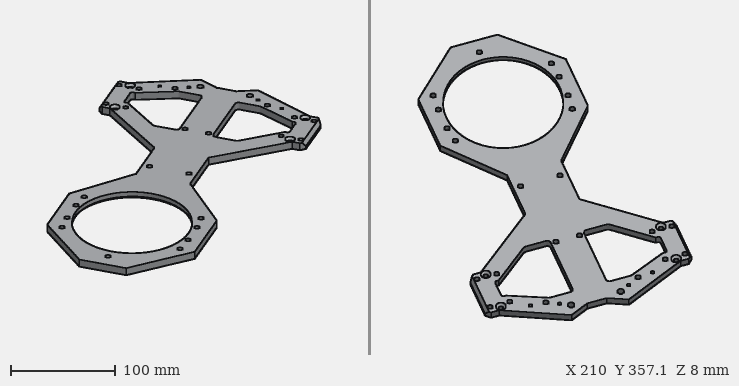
import cadquery as cq

thickness = 8.0
overall_width = 210.0
overall_length = 357.07

ring_opening_diameter = 115.0
ring_recess_diameter = 120.5
ring_recess_depth = 3.0
ring_half_width = 75.0
ring_bottom_y = -82.5
ring_bottom_half_width = 23.8
ring_side_bottom_y = ring_bottom_y + (ring_half_width - ring_bottom_half_width)
ring_side_top_y = 31.0

neck_half_width = 27.5
neck_bottom_y = 87.6
neck_top_y = 139.4

tab_center_y = 220.0
tab_half_height = 25.5
tab_outer_x = overall_width / 2
tab_corner_chamfer = 4.5
arm_top_x = 92.1
arm_bottom_x = 92.6
peak_x = 29.1
peak_y = ring_bottom_y + overall_length
notch_half_width = 9.9
notch_y = 265.8

bevel_width = 3.0
bevel_height = 4.9

window_inner_x = 17.0
window_outer_x = 84.0
window_top_y = 246.8
window_bottom_y = 178.3
window_shoulder_x = 79.7
window_top_slope_x = 41.6
window_bottom_slope_x = 42.6
window_shoulder_top_y = 230.2
window_shoulder_bottom_y = 209.7
window_corner_radius = 3.6
window_shoulder_radius = 2.2
window_bend_radius = 6.0

screw_diameter = 5.3
ring_holes = [(59.4, 30.0), (61.4, 12.5), (61.4, -12.5), (60.0, -30.9)]
ring_bottom_hole_y = -67.5
neck_holes = [(20.0, 105.0), (12.0, 182.5)]
arm_hole = (46.9, 251.2)
peak_hole = (25.2, 262.4)
peak_hole_diameter = 6.3
pin_holes = [(35.1, 257.3), (62.0, 250.0)]
pin_diameter = 3.3

tab_hole_center_x = 89.0
tab_hole_half_pitch_x = 10.0
tab_hole_half_pitch_y = 18.6
tab_hole_diameter = 5.0
countersink_half_pitch_y = 21.5
countersink_hole_diameter = 4.5
countersink_diameter = 9.6
countersink_angle = 90.0


def mirrored(points):
    """Return the points together with their mirror images across X = 0."""
    return points + [(-x, y) for x, y in points]


def make_plate():
    """Plate with its full outline and no openings."""
    tab_top_y = tab_center_y + tab_half_height
    tab_bottom_y = tab_center_y - tab_half_height
    right_side = [
        (ring_bottom_half_width, ring_bottom_y),
        (ring_half_width, ring_side_bottom_y),
        (ring_half_width, ring_side_top_y),
        (neck_half_width, neck_bottom_y),
        (neck_half_width, neck_top_y),
        (arm_bottom_x, tab_bottom_y),
        (tab_outer_x - tab_corner_chamfer, tab_bottom_y),
        (tab_outer_x, tab_bottom_y + tab_corner_chamfer),
        (tab_outer_x, tab_top_y - tab_corner_chamfer),
        (tab_outer_x - tab_corner_chamfer, tab_top_y),
        (arm_top_x, tab_top_y),
        (peak_x, peak_y),
        (notch_half_width, notch_y),
    ]
    left_side = [(-x, y) for x, y in reversed(right_side)]
    return cq.Workplane("XY").polyline(right_side + left_side).close().extrude(thickness)


def make_tab_bevel():
    """Wedge that bevels the upper outer edge of the +X tab."""
    profile = [
        (tab_outer_x - bevel_width, thickness),
        (tab_outer_x, thickness),
        (tab_outer_x, thickness - bevel_height),
    ]
    return (
        cq.Workplane("XZ", origin=(0, tab_center_y, 0))
        .polyline(profile)
        .close()
        .extrude(tab_half_height, both=True)
    )


def make_window():
    """Opening between the centre bar and the +X arms."""
    outline = [
        (window_inner_x, window_bottom_y),
        (window_bottom_slope_x, window_bottom_y),
        (window_shoulder_x, window_shoulder_bottom_y),
        (window_outer_x, window_shoulder_bottom_y),
        (window_outer_x, window_shoulder_top_y),
        (window_shoulder_x, window_shoulder_top_y),
        (window_top_slope_x, window_top_y),
        (window_inner_x, window_top_y),
    ]
    window = cq.Workplane("XY").polyline(outline).close().extrude(thickness)
    bend_region = cq.selectors.BoxSelector(
        (window_top_slope_x - window_bend_radius, window_bottom_y - window_bend_radius, 0),
        (window_bottom_slope_x + window_bend_radius, window_top_y + window_bend_radius, thickness),
    )
    window = window.edges("|Z").edges(bend_region).fillet(window_bend_radius)
    window = window.edges("|Z and <X").fillet(window_corner_radius)
    return window.edges("|Z and >X").fillet(window_shoulder_radius)


def drill(body, points, diameter, depth=thickness):
    """Cut round holes upward from the underside, through the plate unless a depth is given."""
    return body.cut(cq.Workplane("XY").pushPoints(points).circle(diameter / 2).extrude(depth))


def cut_tab_holes(body):
    """Drill and countersink the holes of both tabs."""
    corners = [
        (tab_hole_center_x + side_x * tab_hole_half_pitch_x, tab_center_y + side_y * tab_hole_half_pitch_y)
        for side_x in (-1, 1)
        for side_y in (-1, 1)
    ]
    body = drill(body, mirrored(corners), tab_hole_diameter)
    countersunk = [(tab_hole_center_x, tab_center_y + side * countersink_half_pitch_y) for side in (-1, 1)]
    return (
        body.faces(">Z")
        .workplane(origin=(0, 0, thickness))
        .pushPoints(mirrored(countersunk))
        .cskHole(countersink_hole_diameter, countersink_diameter, countersink_angle)
    )


plate = make_plate()

bevel = make_tab_bevel()
window = make_window()
for cutter in (bevel, window):
    plate = plate.cut(cutter).cut(cutter.mirror("YZ"))

plate = drill(plate, [(0, 0)], ring_opening_diameter)
plate = drill(plate, [(0, 0)], ring_recess_diameter, ring_recess_depth)
plate = drill(plate, mirrored(ring_holes + neck_holes + [arm_hole]), screw_diameter)
plate = drill(plate, [(0, ring_bottom_hole_y)], screw_diameter)
plate = drill(plate, mirrored([peak_hole]), peak_hole_diameter)
plate = drill(plate, mirrored(pin_holes), pin_diameter)
result = cut_tab_holes(plate)